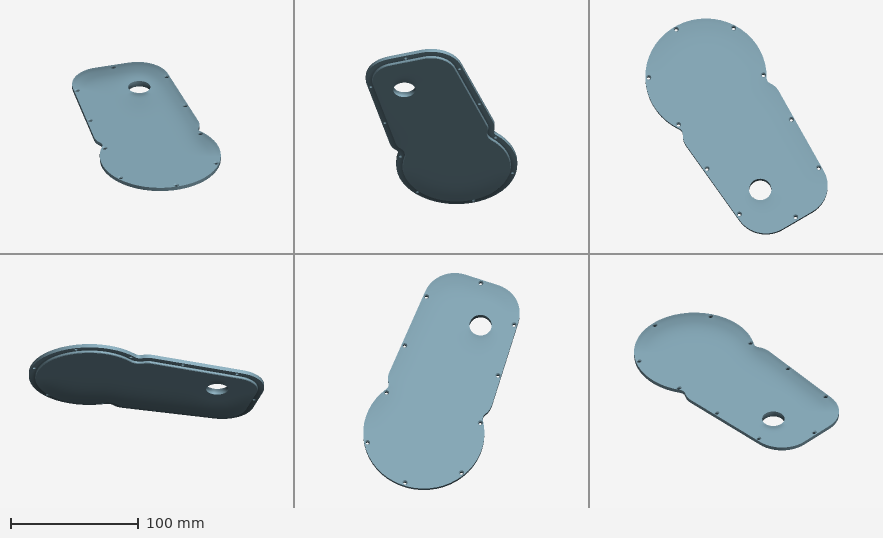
import math

import cadquery as cq

overall_length = 185.33
cover_thickness = 3.0
spigot_thickness = 2.0
spigot_inset = 5.0
spigot_chamfer = 0.5

round_end_centre = (0.0, 0.0)
round_end_radius = 47.5
left_edge_x = round_end_radius - overall_length
left_edge_half_height = 13.7
corner_radius = 25.0
side_taper = math.radians(3.0)
shoulder_radius = 15.0
neck_radius = 5.0
neck_centre_x = -28.2

screw_inset = 2.5
left_screw_inset = 3.0
screw_hole_diameter = 2.5
screw_head_diameter = 4.3
screw_head_angle = 90.0
first_side_screw = 4.1
side_screw_spacing = 45.0
round_end_screw_angles = (0, 60, 120, 240, 300)

window_diameter = 17.5
window_from_left_edge = 36.75
window_y = 11.75


def offset(point, direction, distance):
    """Move a point a distance along a unit direction."""
    return (point[0] + direction[0] * distance, point[1] + direction[1] * distance)


def polar(centre, radius, angle):
    """Point on a circle at an angle in radians."""
    return offset(centre, (math.cos(angle), math.sin(angle)), radius)


def direction_angle(start, end):
    return math.atan2(end[1] - start[1], end[0] - start[0])


def mirrored(point):
    """Reflect a point across the X axis."""
    return (point[0], -point[1])


side_direction = (math.cos(side_taper), math.sin(side_taper))
side_normal = (-math.sin(side_taper), math.cos(side_taper))
corner_centre = (left_edge_x + corner_radius, left_edge_half_height)
side_start = offset(corner_centre, side_normal, corner_radius)


def outline():
    """Closed cover outline, every arc tangent to its neighbours and symmetric about X."""
    neck_reach = round_end_radius + neck_radius
    neck_centre = (neck_centre_x, math.sqrt(neck_reach**2 - neck_centre_x**2))

    neck_dx = neck_centre[0] - side_start[0]
    neck_dy = neck_centre[1] - side_start[1]
    neck_along = neck_dx * side_direction[0] + neck_dy * side_direction[1]
    neck_above = neck_dx * side_normal[0] + neck_dy * side_normal[1]
    centre_gap = shoulder_radius + neck_radius
    side_length = neck_along - math.sqrt(centre_gap**2 - (neck_above + shoulder_radius) ** 2)
    side_end = offset(side_start, side_direction, side_length)
    shoulder_centre = offset(side_end, side_normal, -shoulder_radius)

    side_angle = math.pi / 2 + side_taper
    shoulder_angle = direction_angle(shoulder_centre, neck_centre)
    round_end_angle = direction_angle(round_end_centre, neck_centre)
    neck_middle_angle = (shoulder_angle + round_end_angle) / 2 + math.pi

    corner_start = (left_edge_x, left_edge_half_height)
    corner_middle = polar(corner_centre, corner_radius, (math.pi + side_angle) / 2)
    shoulder_middle = polar(shoulder_centre, shoulder_radius, (side_angle + shoulder_angle) / 2)
    shoulder_end = polar(shoulder_centre, shoulder_radius, shoulder_angle)
    neck_middle = polar(neck_centre, neck_radius, neck_middle_angle)
    neck_end = polar(round_end_centre, round_end_radius, round_end_angle)
    round_end_tip = polar(round_end_centre, round_end_radius, 0.0)

    return (
        cq.Workplane("XY")
        .moveTo(*corner_start)
        .threePointArc(corner_middle, side_start)
        .lineTo(*side_end)
        .threePointArc(shoulder_middle, shoulder_end)
        .threePointArc(neck_middle, neck_end)
        .threePointArc(round_end_tip, mirrored(neck_end))
        .threePointArc(mirrored(neck_middle), mirrored(shoulder_end))
        .threePointArc(mirrored(shoulder_middle), mirrored(side_end))
        .lineTo(*mirrored(side_start))
        .threePointArc(mirrored(corner_middle), mirrored(corner_start))
        .close()
    )


def cover_plate():
    return outline().extrude(cover_thickness)


def spigot():
    """Inset step under the cover, with its lower rim chamfered."""
    step = outline().offset2D(-spigot_inset).extrude(-spigot_thickness)
    return step.faces("<Z").chamfer(spigot_chamfer)


def screw_points():
    """Hole centres: one at the left edge, two along each side, five around the round end."""
    points = [(left_edge_x + left_screw_inset, 0.0)]
    for distance in (first_side_screw, first_side_screw + side_screw_spacing):
        edge_point = offset(side_start, side_direction, distance)
        point = offset(edge_point, side_normal, -screw_inset)
        points += [point, mirrored(point)]
    for angle in round_end_screw_angles:
        points.append(polar(round_end_centre, round_end_radius - screw_inset, math.radians(angle)))
    return points


def top_plane(body):
    """Workplane on the top face, above the centre of the round end."""
    return body.faces(">Z").workplane(origin=(0, 0, cover_thickness))


def cut_screw_holes(body):
    return (
        top_plane(body)
        .pushPoints(screw_points())
        .cskHole(screw_hole_diameter, screw_head_diameter, screw_head_angle)
    )


def cut_window(body):
    window_centre = (left_edge_x + window_from_left_edge, window_y)
    return top_plane(body).center(*window_centre).hole(window_diameter)


cover = cover_plate().union(spigot())
result = cut_window(cut_screw_holes(cover))